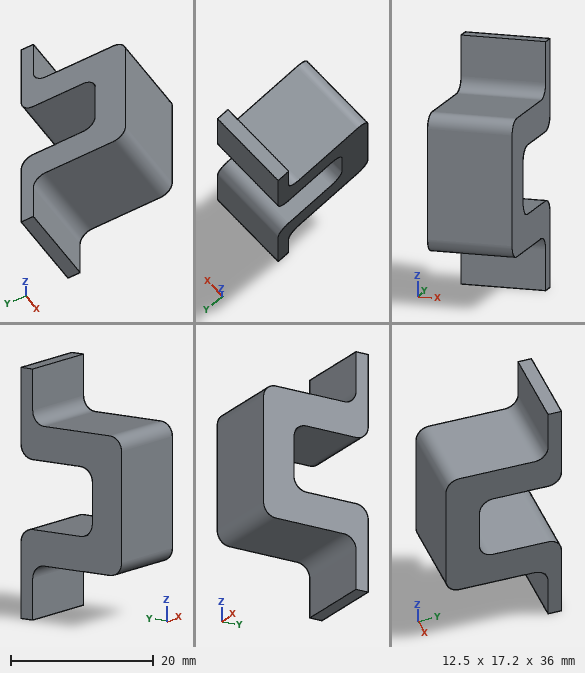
import cadquery as cq

width = 12.5
depth = 17.2
height = 36.0

flange_thickness = 2.0
wall_thickness = 5.0
channel_height = 10.0
bend_radius = 2.0

back = depth / 2
front = -depth / 2
flange_front = back - flange_thickness
channel_floor = front + wall_thickness
channel_half = channel_height / 2
hat_half = channel_half + wall_thickness


def block(y_min, y_max, z_size):
    """Full-width block between two Y planes, centred on X and Z."""
    return cq.Workplane("XY").box(width, y_max - y_min, z_size).translate((0, (y_min + y_max) / 2, 0))


flange = block(flange_front, back, height)
hat = block(front, back, 2 * hat_half)
channel = block(channel_floor, back, channel_height)
bracket = flange.union(hat).cut(channel)

bend_points = [
    (flange_front, hat_half),
    (front, hat_half),
    (channel_floor, channel_half),
    (back, channel_half),
]
edge_reach = 0.05
for y, z in bend_points:
    for side in (1, -1):
        bend_edge = cq.selectors.BoxSelector(
            (-edge_reach, y - edge_reach, side * z - edge_reach),
            (edge_reach, y + edge_reach, side * z + edge_reach),
        )
        bracket = bracket.edges(bend_edge).fillet(bend_radius)

result = bracket